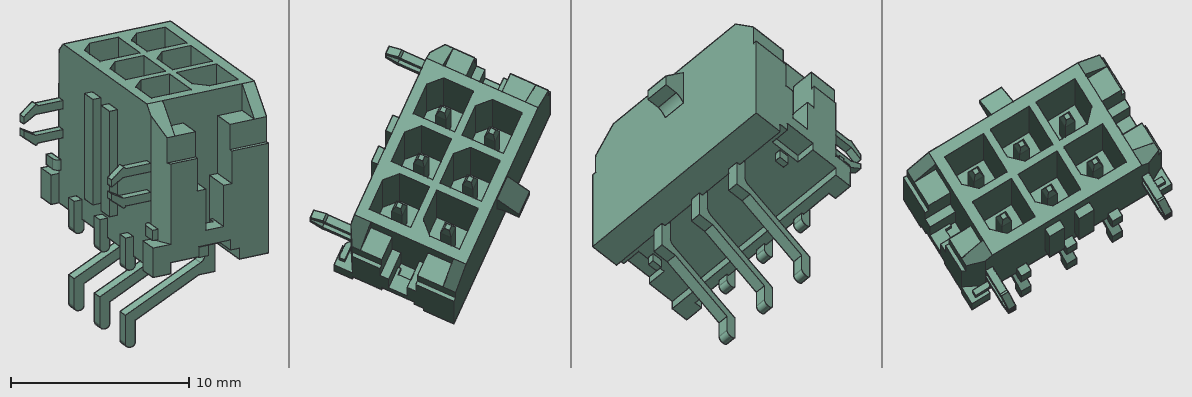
import cadquery as cq
import math


TOTAL_HEIGHT = 15.4
HEIGHT = 9.87
DEPTH = 6.88
CORE_HALF = 4.91
WING_HALF = 6.58
WING_TOP = 6.7
SHOULDER_HALF = 6.35
SHOULDER_TOP = 8.24
GUSSET_FRONT_Y = 1.02
GUSSET_BACK_Y = 6.1
FLARE_HALF = 5.37
FLARE_SETBACK = 0.63
STANDOFF = 0.51
FOOT_TOP = 1.8

GROOVE_Y = 3.43
GROOVE_WIDE = 2.2
GROOVE_WIDE_FLOOR = 4.71
GROOVE_NARROW = 1.14
GROOVE_NARROW_FLOOR = 2.2
STRIP_SEAT_HALF = 5.28
TONGUE_SEAT_HALF = 5.67
TONGUE_SEAT_WIDTH = 0.8
SEAT_DEPTH = 0.62

RELIEF_FRONT_Y = 0.63
RELIEF_BACK_Y = 5.0
RELIEF_TOP = 0.68
NOTCH_WIDTH = 2.0
NOTCH_TOP = 1.3

PITCH = 3.0
PIN_SIZE = 0.65
BACK_ROW_Y = 4.91
FRONT_ROW_Y = BACK_ROW_Y - PITCH
COLUMNS = (-PITCH, 0, PITCH)
SOCKET_SIZE = 2.55
SOCKET_FLOOR = 1.8
KEY_CHAMFER = 0.72
PIN_TOP = 7.7
PIN_TAPER = 0.92
PIN_TIP = 0.31
TAIL_ROUND = 0.3
FRONT_TAIL_TOP = 1.2
FRONT_TAIL_END = -0.82
BACK_TAIL_END = HEIGHT - TOTAL_HEIGHT
BACK_LEAD_Y = 5.24
LEAD_BEND = 0.5
LEAD_CORNER_Z = -1.14
LEAD_HEEL_Y = 4.19
LEAD_HEEL_Z = -2.0
LEAD_TOE_UPPER_Z = -3.51
LEAD_TOE_LOWER_Z = -3.95

RIB_WIDTH = 0.99
RIB_X = 0.97

LATCH_WIDTH = 1.45
LATCH_TIP_Y = 8.25
LATCH_TOP = 9.3
LATCH_RAMP_END = 7.73
LATCH_UNDERSIDE = 6.91
LATCH_ROOT = 6.47
LATCH_HOLLOW_START = (7.44, LATCH_UNDERSIDE)
LATCH_HOLLOW_MIDDLE = (7.13, 6.75)

CLIP_SLIT_Z = 5.28
CLIP_TIP_Y = -2.51
PRONG_INNER = 0.63
PRONG_OUTER = 1.14
BARB_START_Y = -1.59
BARB_PEAK_Y = -1.72
BARB_PEAK = 1.26
TIP_INNER = 0.2
TIP_OUTER = 0.63
INNER_BEND_Y = -1.75
HOOK_OUTER_HALF = 6.24
HOOK_INNER_HALF = 5.13
HOOK_THICKNESS = 0.35
HOOK_BOTTOM = 2.1
HOOK_TOP = 2.73

OVERLAP = 0.15


def box(x0, x1, y0, y1, z0, z1):
    return cq.Workplane("XY").box(x1 - x0, y1 - y0, z1 - z0, centered=False).translate((x0, y0, z0))


def plate(points, x0, x1):
    """Extrude an outline of (y, z) points from x0 to x1."""
    return cq.Workplane("YZ", origin=(x0, 0, 0)).polyline(points).close().extrude(x1 - x0)


def both_sides(right):
    return right.union(right.mirror("YZ"))


def wing():
    plan = [
        (0, 0),
        (FLARE_HALF, 0),
        (WING_HALF, FLARE_SETBACK),
        (WING_HALF, DEPTH),
        (0, DEPTH),
    ]
    elevation = [
        (0, 0),
        (WING_HALF, 0),
        (WING_HALF, WING_TOP),
        (SHOULDER_HALF, WING_TOP),
        (SHOULDER_HALF, SHOULDER_TOP),
        (CORE_HALF, HEIGHT),
        (0, HEIGHT),
    ]
    body = cq.Workplane("XY").polyline(plan).close().extrude(HEIGHT)
    body = body.intersect(cq.Workplane("XZ").polyline(elevation).close().extrude(-DEPTH))
    body = body.cut(box(CORE_HALF, WING_HALF, GUSSET_FRONT_Y, GUSSET_BACK_Y, SHOULDER_TOP, HEIGHT))
    return body.union(box(FLARE_HALF, WING_HALF, -STANDOFF, FLARE_SETBACK, 0, FOOT_TOP))


def slot_in_wing(outer_half, width, z0, z1):
    y0 = GROOVE_Y - width / 2
    return box(CORE_HALF, outer_half, y0, y0 + width, z0, z1)


def clip_groove():
    seat_bottom = GROOVE_NARROW_FLOOR - SEAT_DEPTH
    groove = slot_in_wing(WING_HALF, GROOVE_WIDE, GROOVE_WIDE_FLOOR, HEIGHT)
    groove = groove.union(slot_in_wing(WING_HALF, GROOVE_NARROW, GROOVE_NARROW_FLOOR, HEIGHT))
    groove = groove.union(slot_in_wing(STRIP_SEAT_HALF, GROOVE_NARROW, seat_bottom, HEIGHT))
    return groove.union(slot_in_wing(TONGUE_SEAT_HALF, TONGUE_SEAT_WIDTH, seat_bottom, HEIGHT))


def side_notch():
    y0 = GROOVE_Y - NOTCH_WIDTH / 2
    return box(FLARE_HALF, WING_HALF, y0, y0 + NOTCH_WIDTH, 0, NOTCH_TOP)


def socket(x, y):
    """Square socket with one keyed corner, mirrored for the back right socket."""
    keyed_right = x > 0 and y == BACK_ROW_Y
    corner = ">X and <Y" if keyed_right else "<X and <Y"
    cavity = cq.Workplane("XY").rect(SOCKET_SIZE, SOCKET_SIZE).extrude(HEIGHT - SOCKET_FLOOR)
    cavity = cavity.edges("|Z").edges(corner).chamfer(KEY_CHAMFER)
    return cavity.translate((x, y, SOCKET_FLOOR))


def contact_pin(x, y):
    shank_top = PIN_TOP - PIN_TAPER
    shank_bottom = SOCKET_FLOOR - OVERLAP
    shank = cq.Workplane("XY").rect(PIN_SIZE, PIN_SIZE).extrude(shank_top - shank_bottom)
    taper_base = shank.faces(">Z").workplane().rect(PIN_SIZE, PIN_SIZE)
    pin = taper_base.workplane(offset=PIN_TAPER).rect(PIN_TIP, PIN_TIP).loft(combine=True)
    return pin.translate((x, y, shank_bottom))


def front_tail(x):
    y0 = -STANDOFF
    x0 = x - PIN_SIZE / 2
    tail = box(x0, x0 + PIN_SIZE, y0, y0 + PIN_SIZE, FRONT_TAIL_END, FRONT_TAIL_TOP)
    return tail.edges("|X and <Z").fillet(TAIL_ROUND)


def back_tail(x):
    drop_front_y = BACK_LEAD_Y - PIN_SIZE
    foot_back_y = PIN_SIZE - STANDOFF
    outline = [
        (BACK_LEAD_Y, RELIEF_TOP + OVERLAP),
        (BACK_LEAD_Y, LEAD_HEEL_Z),
        (LEAD_HEEL_Y, LEAD_HEEL_Z),
        (foot_back_y, LEAD_TOE_LOWER_Z),
        (foot_back_y, BACK_TAIL_END),
        (-STANDOFF, BACK_TAIL_END),
        (-STANDOFF, LEAD_TOE_UPPER_Z),
        (drop_front_y, LEAD_CORNER_Z),
        (drop_front_y, RELIEF_TOP + OVERLAP),
    ]
    tail = plate(outline, x - PIN_SIZE / 2, x + PIN_SIZE / 2)
    tail = tail.edges("|X and <Z").fillet(TAIL_ROUND)
    bend_edge = cq.selectors.NearestToPointSelector((x, drop_front_y, LEAD_CORNER_Z))
    return tail.edges("|X").edges(bend_edge).fillet(LEAD_BEND)


def rib(x):
    return box(x - RIB_WIDTH / 2, x + RIB_WIDTH / 2, -STANDOFF, OVERLAP, FOOT_TOP, SHOULDER_TOP)


def latch():
    """Ramped latch with a hollow under its root."""
    profile = (
        cq.Workplane("YZ", origin=(-LATCH_WIDTH / 2, 0, 0))
        .moveTo(DEPTH - OVERLAP, LATCH_TOP)
        .lineTo(DEPTH, LATCH_TOP)
        .lineTo(LATCH_TIP_Y, LATCH_RAMP_END)
        .lineTo(LATCH_TIP_Y, LATCH_UNDERSIDE)
        .lineTo(*LATCH_HOLLOW_START)
        .threePointArc(LATCH_HOLLOW_MIDDLE, (DEPTH, LATCH_ROOT))
        .lineTo(DEPTH - OVERLAP, LATCH_ROOT)
        .close()
    )
    return profile.extrude(LATCH_WIDTH)


def clip_prong(side):
    """Barbed prong above (side = 1) or below (side = -1) the slit of the clip."""
    outline = [
        (OVERLAP, PRONG_OUTER),
        (BARB_START_Y, PRONG_OUTER),
        (BARB_PEAK_Y, BARB_PEAK),
        (CLIP_TIP_Y, TIP_OUTER),
        (CLIP_TIP_Y, TIP_INNER),
        (INNER_BEND_Y, PRONG_INNER),
        (OVERLAP, PRONG_INNER),
    ]
    return plate([(y, CLIP_SLIT_Z + side * z) for y, z in outline], CORE_HALF, FLARE_HALF)


def clip_hook():
    """Bent end of the clip lying against the mounting face, rounded towards the middle."""
    round_end_x = HOOK_INNER_HALF + HOOK_THICKNESS
    round_middle = HOOK_THICKNESS * math.sqrt(0.5)
    plan = (
        cq.Workplane("XY", origin=(0, 0, HOOK_BOTTOM))
        .moveTo(HOOK_INNER_HALF, 0)
        .threePointArc((round_end_x - round_middle, -round_middle), (round_end_x, -HOOK_THICKNESS))
        .lineTo(HOOK_OUTER_HALF, -HOOK_THICKNESS)
        .lineTo(HOOK_OUTER_HALF, 0)
        .close()
    )
    return plan.extrude(HOOK_TOP - HOOK_BOTTOM)


def clip_tail():
    """End of the clip hanging below the relief."""
    y0 = GROOVE_Y - PIN_SIZE / 2
    return box(CORE_HALF, STRIP_SEAT_HALF, y0, y0 + PIN_SIZE, 0, RELIEF_TOP + OVERLAP)


housing = both_sides(wing()).cut(both_sides(clip_groove()))
housing = housing.cut(box(-WING_HALF, WING_HALF, RELIEF_FRONT_Y, RELIEF_BACK_Y, 0, RELIEF_TOP))
housing = housing.cut(both_sides(side_notch()))
for column_x in COLUMNS:
    for row_y in (FRONT_ROW_Y, BACK_ROW_Y):
        housing = housing.cut(socket(column_x, row_y))

result = housing.union(both_sides(rib(RIB_X))).union(latch())

for column_x in COLUMNS:
    for row_y in (FRONT_ROW_Y, BACK_ROW_Y):
        result = result.union(contact_pin(column_x, row_y))
    result = result.union(front_tail(column_x)).union(back_tail(column_x))

for clip_piece in (clip_prong(1), clip_prong(-1), clip_hook(), clip_tail()):
    result = result.union(both_sides(clip_piece))